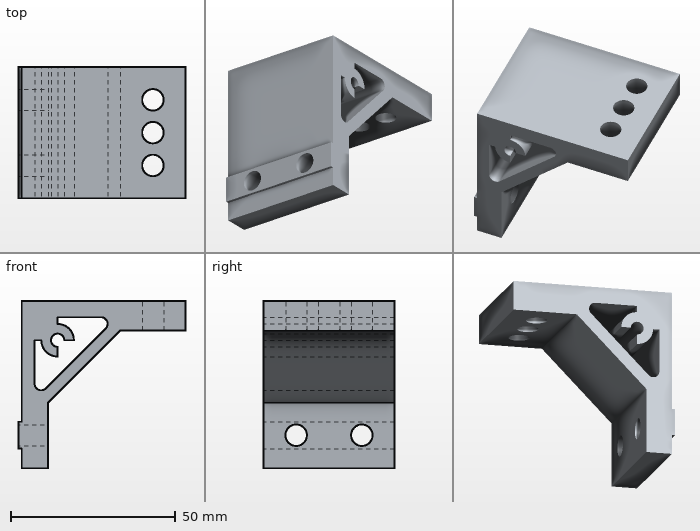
import cadquery as cq
import math

length = 51.0
height = 51.0
width = 40.0

rail_depth = 1.0
rail_height = 8.2
rail_center_z = 10.1
arm_thickness = 9.1
leg_inner_x = 9.1
brace_run = 22.0

window_inset = 5.0
window_corner_radius = 2.0
window_corner_reach = 25.2

clip_inset = 12.0
clip_outer_radius = 5.0
clip_bore_radius = 2.0

hole_diameter = 6.5
hole_spacing = 10.0
arm_hole_x = 41.0


def extrude_across(sketch):
    """Extrude an XZ outline over the full width, centred on Y = 0."""
    return sketch.extrude(width / 2, both=True)


def cylinder_across(x, z, radius):
    return extrude_across(cq.Workplane("XZ").center(x, z).circle(radius))


def box_across(x_min, x_max, z_min, z_max):
    outline = cq.Workplane("XZ").moveTo(x_min, z_min).lineTo(x_max, z_min)
    return extrude_across(outline.lineTo(x_max, z_max).lineTo(x_min, z_max).close())


def bracket_body():
    arm_bottom = height - arm_thickness
    outline = cq.Workplane("XZ").polyline([
        (rail_depth, 0),
        (leg_inner_x, 0),
        (leg_inner_x, arm_bottom - brace_run),
        (leg_inner_x + brace_run, arm_bottom),
        (length, arm_bottom),
        (length, height),
        (rail_depth, height),
    ]).close()
    rail = box_across(
        0, leg_inner_x, rail_center_z - rail_height / 2, rail_center_z + rail_height / 2
    )
    return extrude_across(outline).union(rail)


def brace_window():
    """Triangular opening with rounded acute corners and a clip in its square corner."""
    r = window_corner_radius
    diagonal = r / math.sqrt(2)
    near = window_inset + r
    far = window_corner_reach
    mid_short = r * math.sin(math.pi / 8)
    mid_long = r * math.cos(math.pi / 8)
    triangle = extrude_across(
        cq.Workplane("XZ")
        .moveTo(window_inset, height - window_inset)
        .lineTo(window_inset, height - far)
        .threePointArc(
            (near - mid_short, height - far - mid_long),
            (near + diagonal, height - far - diagonal),
        )
        .lineTo(far + diagonal, height - near - diagonal)
        .threePointArc(
            (far + mid_long, height - near + mid_short),
            (far, height - window_inset),
        )
        .close()
    )

    clip_z = height - clip_inset
    corner_block = box_across(0, clip_inset, clip_z, height)
    clip_opening = box_across(
        clip_inset, clip_inset + clip_outer_radius, clip_z - clip_outer_radius, clip_z
    )
    clip = cylinder_across(clip_inset, clip_z, clip_outer_radius).cut(clip_opening)
    bore = cylinder_across(clip_inset, clip_z, clip_bore_radius)
    return triangle.cut(corner_block).cut(clip).union(bore)


def arm_holes():
    return (
        cq.Workplane("XY", origin=(arm_hole_x, 0, height - arm_thickness))
        .pushPoints([(0, -hole_spacing), (0, 0), (0, hole_spacing)])
        .circle(hole_diameter / 2)
        .extrude(arm_thickness)
    )


def leg_holes():
    return (
        cq.Workplane("YZ")
        .pushPoints([(-hole_spacing, rail_center_z), (hole_spacing, rail_center_z)])
        .circle(hole_diameter / 2)
        .extrude(leg_inner_x)
    )


result = bracket_body().cut(brace_window()).cut(arm_holes()).cut(leg_holes())